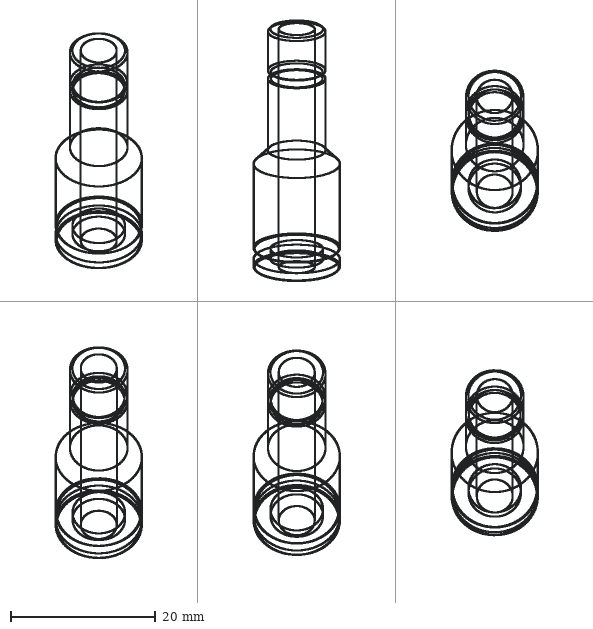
import cadquery as cq

total_length = 35.0
body_diameter = 12.0
stem_diameter = 8.0
bore_diameter = 5.0

collar_thickness = 1.2
neck_diameter = 7.3
neck_length = 1.5

bevel = 0.15

shoulder_top_z = 17.2
shoulder_height = (body_diameter - stem_diameter) / 2

groove_diameter = 7.2
groove_bottom_z = 27.7
groove_top_z = 28.95
groove_flank_height = 0.25

tip_diameter = 7.3
tip_chamfer = (stem_diameter - tip_diameter) / 2


def revolved(profile):
    """Solid of revolution about Z from a list of (radius, z) points."""
    return cq.Workplane("XZ").polyline(profile).close().revolve(360, (0, 0), (0, 1))


def beveled_disc(bottom_z, top_z):
    """Full-diameter cylinder with a small bevel around its bottom edge."""
    radius = body_diameter / 2
    profile = [
        (0, bottom_z),
        (radius - bevel, bottom_z),
        (radius, bottom_z + bevel),
        (radius, top_z),
        (0, top_z),
    ]
    return revolved(profile)


def cylinder(diameter, bottom_z, top_z):
    """Cylinder on the Z axis."""
    return cq.Workplane("XY").workplane(offset=bottom_z).circle(diameter / 2).extrude(top_z - bottom_z)


def stem_and_shoulder(bottom_z):
    """Conical shoulder, grooved stem and chamfered tip."""
    stem_radius = stem_diameter / 2
    groove_radius = groove_diameter / 2
    profile = [
        (0, bottom_z),
        (body_diameter / 2, bottom_z),
        (stem_radius, shoulder_top_z),
        (stem_radius, groove_bottom_z),
        (groove_radius, groove_bottom_z),
        (groove_radius, groove_top_z - groove_flank_height),
        (stem_radius, groove_top_z),
        (stem_radius, total_length - tip_chamfer),
        (tip_diameter / 2, total_length),
        (0, total_length),
    ]
    return revolved(profile)


body_bottom_z = collar_thickness + neck_length
body_top_z = shoulder_top_z - shoulder_height

collar = beveled_disc(0, collar_thickness)
neck = cylinder(neck_diameter, collar_thickness, body_bottom_z)
body = beveled_disc(body_bottom_z, body_top_z)
bore = cylinder(bore_diameter, 0, total_length)

result = collar.union(neck).union(body).union(stem_and_shoulder(body_top_z)).cut(bore)